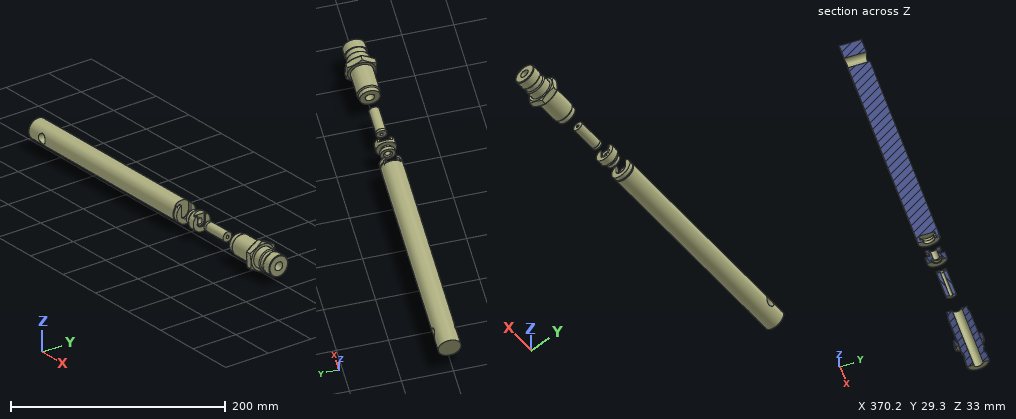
import cadquery as cq
import math


ROD_RADIUS = 11.0
ROD_LENGTH = 227.7
CROSS_HOLE_X = 20.0
CROSS_HOLE_RADIUS = 5.0

HEAD_RADIUS = 7.5
HEAD_LENGTH = 3.5
NECK_RADIUS = 5.0
COUPLER_START = 237.5
COLLAR_START = 244.5
COLLAR_END = 251.7
COLLAR_RADIUS = 10.0
COUPLER_BORE_RADIUS = 3.0
COUNTERSINK_RADIUS = 4.5
COUNTERSINK_DEPTH = 1.0

RELIEF_START = 247.0
FLAT_START = 248.5
FLAT_HEIGHT = 7.0
TROUGH_RADIUS = 5.0
MOUTH_START = 250.5
MOUTH_RADIUS = 4.5

SLOT_CLEARANCE = 0.5
HEAD_SLOT_START = 221.0
HEAD_SLOT_LENGTH = HEAD_LENGTH + SLOT_CLEARANCE
HEAD_SLOT_END = HEAD_SLOT_START + HEAD_SLOT_LENGTH

GROOVE_X = HEAD_SLOT_START + HEAD_SLOT_LENGTH / 2
GROOVE_HALF_WIDTH = 0.7
GROOVE_DEPTH = 0.5

PIN_RADIUS = 5.0
PIN_BORE_RADIUS = 1.5
RING_START = 262.0
PIN_START = 264.7
PIN_END = 291.5

BARREL_RADIUS = ROD_RADIUS
SPIGOT_RADIUS = 10.0
UNDERCUT_RADIUS = 10.0
SLEEVE_START = 307.3
SPIGOT_END = 311.7
BARREL_END = 354.3
UNDERCUT_END = 360.5
SLEEVE_END = 370.2
STEP_CHAMFER = BARREL_RADIUS - SPIGOT_RADIUS
END_CHAMFER = 0.7
SLEEVE_BORE_RADIUS = 4.5

NUT_START = 338.5
NUT_END = 346.0
NUT_ACROSS_CORNERS = 33.0
NUT_CORNER_RADIUS = NUT_ACROSS_CORNERS / 2
NUT_SIDES = 6
NUT_TURN_DEGREES = 2.6
NUT_FACE_RADIUS = 13.7
NUT_CHAMFER_LENGTH = 1.0
WASHER_FACE_HEIGHT = 0.5
WASHER_FACE_TIP_RADIUS = 11.5
WASHER_FACE_BASE_RADIUS = 13.0


def turned(profile):
    """Revolve (x, radius) points, closed along the X axis, about that axis."""
    outline = [(profile[0][0], 0), *profile, (profile[-1][0], 0)]
    return cq.Workplane("XY").polyline(outline).close().revolve(360, (0, 0), (1, 0))


def cylinder(start, end, radius):
    return cq.Workplane("YZ", origin=(start, 0, 0)).circle(radius).extrude(end - start)


def open_slot(start, end, radius):
    """Slot across the axis, open to +Z, with a half-round floor about the axis."""
    walls = (
        cq.Workplane("YZ", origin=(start, 0, 0))
        .rect(2 * radius, 2 * ROD_RADIUS)
        .extrude(end - start)
        .translate((0, 0, ROD_RADIUS))
    )
    return cylinder(start, end, radius).union(walls)


def make_rod():
    rod = turned([
        (0, ROD_RADIUS),
        (GROOVE_X - GROOVE_HALF_WIDTH, ROD_RADIUS),
        (GROOVE_X, ROD_RADIUS - GROOVE_DEPTH),
        (GROOVE_X + GROOVE_HALF_WIDTH, ROD_RADIUS),
        (ROD_LENGTH, ROD_RADIUS),
    ])
    cross_hole = (
        cq.Workplane("XZ")
        .center(CROSS_HOLE_X, 0)
        .circle(CROSS_HOLE_RADIUS)
        .extrude(ROD_RADIUS, both=True)
    )
    head_slot = open_slot(HEAD_SLOT_START, HEAD_SLOT_END, HEAD_RADIUS + SLOT_CLEARANCE)
    neck_slot = open_slot(HEAD_SLOT_END, ROD_LENGTH, NECK_RADIUS + SLOT_CLEARANCE)
    return rod.cut(cross_hole).cut(head_slot).cut(neck_slot)


def make_coupler():
    head_end = COUPLER_START + HEAD_LENGTH
    coupler = turned([
        (COUPLER_START, HEAD_RADIUS),
        (head_end, HEAD_RADIUS),
        (head_end, NECK_RADIUS),
        (COLLAR_START, NECK_RADIUS),
        (COLLAR_START, COLLAR_RADIUS),
        (COLLAR_END, COLLAR_RADIUS),
    ])
    relief = (
        cq.Workplane("XZ")
        .polyline([
            (RELIEF_START, COLLAR_RADIUS),
            (FLAT_START, FLAT_HEIGHT),
            (COLLAR_END, FLAT_HEIGHT),
            (COLLAR_END, COLLAR_RADIUS),
        ])
        .close()
        .extrude(COLLAR_RADIUS, both=True)
    )
    trough = open_slot(FLAT_START, MOUTH_START, TROUGH_RADIUS)
    mouth = open_slot(MOUTH_START, COLLAR_END, MOUTH_RADIUS)
    bore = turned([
        (COUPLER_START, COUNTERSINK_RADIUS),
        (COUPLER_START + COUNTERSINK_DEPTH, COUPLER_BORE_RADIUS),
        (COLLAR_END, COUPLER_BORE_RADIUS),
    ])
    return coupler.cut(relief).cut(trough).cut(mouth).cut(bore)


def make_pin_piece(start, end):
    """Length of the bored pin stock, used for both the ring and the pin."""
    return cylinder(start, end, PIN_RADIUS).cut(cylinder(start, end, PIN_BORE_RADIUS))


def make_sleeve():
    sleeve = turned([
        (SLEEVE_START, SPIGOT_RADIUS),
        (SPIGOT_END, SPIGOT_RADIUS),
        (SPIGOT_END + STEP_CHAMFER, BARREL_RADIUS),
        (BARREL_END, BARREL_RADIUS),
        (BARREL_END + STEP_CHAMFER, UNDERCUT_RADIUS),
        (UNDERCUT_END, UNDERCUT_RADIUS),
        (UNDERCUT_END, BARREL_RADIUS),
        (SLEEVE_END - END_CHAMFER, BARREL_RADIUS),
        (SLEEVE_END, BARREL_RADIUS - END_CHAMFER),
    ])
    return sleeve.cut(cylinder(SLEEVE_START, SLEEVE_END, SLEEVE_BORE_RADIUS))


def make_nut():
    corner_angles = [
        math.pi / 2 + math.radians(NUT_TURN_DEGREES) + side * 2 * math.pi / NUT_SIDES
        for side in range(NUT_SIDES)
    ]
    corners = [
        (NUT_CORNER_RADIUS * math.cos(angle), NUT_CORNER_RADIUS * math.sin(angle))
        for angle in corner_angles
    ]
    hexagon = (
        cq.Workplane("YZ", origin=(NUT_START, 0, 0))
        .polyline(corners)
        .close()
        .extrude(NUT_END - NUT_START)
    )
    hex_start = NUT_START + WASHER_FACE_HEIGHT
    envelope = turned([
        (NUT_START, WASHER_FACE_TIP_RADIUS),
        (hex_start, WASHER_FACE_BASE_RADIUS),
        (hex_start, NUT_FACE_RADIUS),
        (hex_start + NUT_CHAMFER_LENGTH, NUT_CORNER_RADIUS),
        (NUT_END - NUT_CHAMFER_LENGTH, NUT_CORNER_RADIUS),
        (NUT_END, NUT_FACE_RADIUS),
    ])
    return hexagon.intersect(envelope).cut(cylinder(NUT_START, NUT_END, BARREL_RADIUS))


rod = make_rod()
coupler = make_coupler()
ring = make_pin_piece(RING_START, PIN_START)
pin = make_pin_piece(PIN_START, PIN_END)
sleeve = make_sleeve()
nut = make_nut()

result = cq.Compound.makeCompound([
    rod.val(),
    coupler.val(),
    ring.val(),
    pin.val(),
    sleeve.val(),
    nut.val(),
])